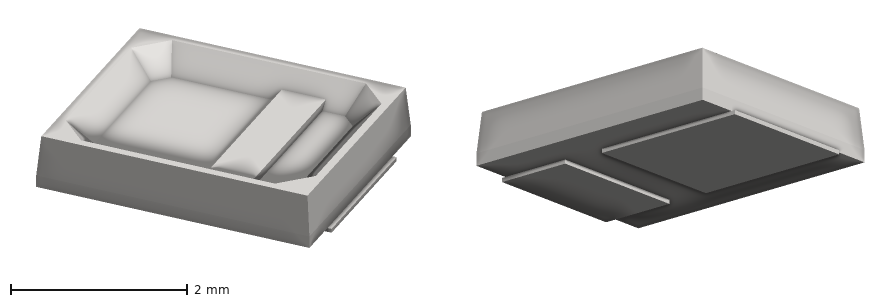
import cadquery as cq
import math

body_length = 3.4
body_width = 2.8
total_height = 0.7
body_draft = 5.0
base_height = 0.15

pad_thickness = 0.05
pad_span = 3.5
pad_width = 1.8
large_pad_length = 2.0
small_pad_length = 0.95

rim_width = 0.1
cavity_depth = 0.3
cavity_draft = 45.0
cavity_corner = 0.35

bar_height = 0.1
bar_start = -pad_span / 2 + large_pad_length
bar_end = pad_span / 2 - small_pad_length

housing_bottom = pad_thickness + base_height
housing_inset = (total_height - housing_bottom) * math.tan(math.radians(body_draft))
cavity_length = body_length - 2 * (housing_inset + rim_width)
cavity_width = body_width - 2 * (housing_inset + rim_width)
cavity_floor = total_height - cavity_depth


def make_body():
    """Straight base band with a drafted housing on top."""
    base = (
        cq.Workplane("XY", origin=(0, 0, pad_thickness))
        .rect(body_length, body_width)
        .extrude(base_height)
    )
    housing = (
        cq.Workplane("XY", origin=(0, 0, housing_bottom))
        .rect(body_length, body_width)
        .extrude(total_height - housing_bottom, taper=body_draft)
    )
    return base.union(housing)


def octagon(length, width, corner, z):
    """Rectangle with equal corner cuts, drawn at height z."""
    x = length / 2
    y = width / 2
    return cq.Workplane("XY", origin=(0, 0, z)).polyline([
        (-x + corner, -y), (x - corner, -y),
        (x, -y + corner), (x, y - corner),
        (x - corner, y), (-x + corner, y),
        (-x, y - corner), (-x, -y + corner),
    ]).close()


def make_cavity():
    """Octagonal funnel whose eight walls share one slope."""
    inset = cavity_depth * math.tan(math.radians(cavity_draft))
    corner_loss = inset * (2 - math.sqrt(2))
    floor = octagon(
        cavity_length - 2 * inset,
        cavity_width - 2 * inset,
        cavity_corner - corner_loss,
        cavity_floor,
    ).wires().val()
    opening = octagon(cavity_length, cavity_width, cavity_corner, total_height).wires().val()
    return cq.Workplane(cq.Solid.makeLoft([floor, opening], True))


def make_bar():
    """Divider bar, with ends buried in the sloped cavity walls."""
    return cq.Workplane("XY").box(
        bar_end - bar_start, cavity_width, bar_height, centered=(False, True, False)
    ).translate((bar_start, 0, cavity_floor))


def make_pad(start, length):
    """Solder pad beginning at x = start."""
    return cq.Workplane("XY").box(
        length, pad_width, pad_thickness, centered=(False, True, False)
    ).translate((start, 0, 0))


large_pad = make_pad(-pad_span / 2, large_pad_length)
small_pad = make_pad(bar_end, small_pad_length)

result = make_body().cut(make_cavity()).union(make_bar()).union(large_pad).union(small_pad)